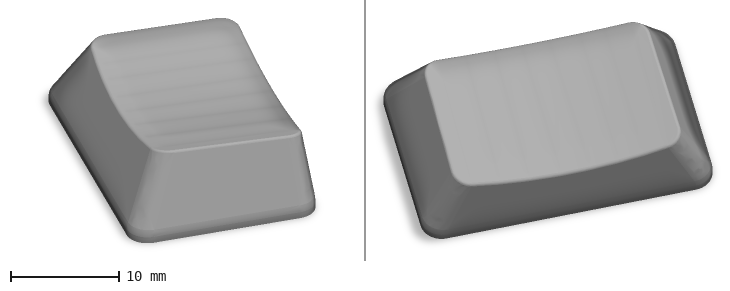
import cadquery as cq
import math

length = 27.7
width = 18.16

bend_start = 0.65
bend_end = 1.3
bend_sections = 5
blank_height = 8.85

side_slope = 0.49
front_slope = 0.51
back_slope = 0.09

corner_radius = 2.0
top_corner_radius = 1.65

dish_radius = 45.13
dish_bottom = 6.12
dish_tilt = 2.2
dish_run = 2 * width
rim_radius = 0.28


def slope_rise(height):
    """Rise that counts towards the wall slope; it grows as a parabola through the bend."""
    if height <= bend_start:
        return 0.0
    if height < bend_end:
        return (height - bend_start) ** 2 / (2 * (bend_end - bend_start))
    return height - (bend_start + bend_end) / 2


def outline_at(height):
    """Rounded rectangle of the body at a given height."""
    rise = slope_rise(height)
    taper = rise / slope_rise(blank_height)
    radius = corner_radius + (top_corner_radius - corner_radius) * taper
    centre_y = (front_slope - back_slope) * rise / 2
    return (
        cq.Sketch()
        .rect(length - 2 * side_slope * rise, width - (front_slope + back_slope) * rise)
        .vertices()
        .fillet(radius)
        .moved(cq.Location(cq.Vector(0, centre_y, height)))
    )


def make_blank():
    skirt = cq.Workplane("XY").placeSketch(outline_at(0)).extrude(bend_start)
    step = (bend_end - bend_start) / (bend_sections - 1)
    bend_outlines = [outline_at(bend_start + i * step) for i in range(bend_sections)]
    bend = cq.Workplane("XY").placeSketch(*bend_outlines).loft()
    walls = cq.Workplane("XY").placeSketch(outline_at(bend_end), outline_at(blank_height)).loft(ruled=True)
    return skirt.union(bend).union(walls)


def make_dish_cutter():
    tilt = math.radians(dish_tilt)
    axis = cq.Vector(0, math.cos(tilt), -math.sin(tilt))
    upward = cq.Vector(0, math.sin(tilt), math.cos(tilt))
    middle = cq.Vector(0, 0, dish_bottom) + upward * dish_radius
    start = middle - axis * (dish_run / 2)
    return cq.Workplane(cq.Solid.makeCylinder(dish_radius, dish_run, start, axis))


body = make_blank().cut(make_dish_cutter())
dish_face = body.faces(cq.selectors.NearestToPointSelector((0, 0, dish_bottom)))
result = dish_face.edges().fillet(rim_radius)